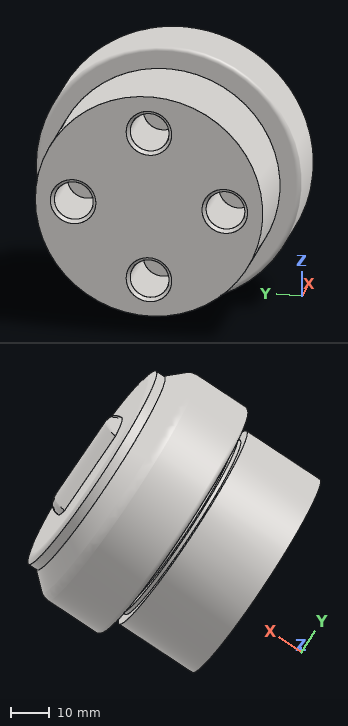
import cadquery as cq
import math

BODY_END = 22.9
COLLAR_END = 23.9
FLANGE_START = 25.5
CONE_START = 43.0
CONE_END = 48.5
NOSE_EDGE = 51.1
NOSE_FACE = 51.8
OVERALL_LENGTH = 55.0

BODY_RADIUS = 30.0
COLLAR_RADIUS = 27.0
NECK_RADIUS = 24.0
FLANGE_RADIUS = 35.05
NOSE_RADIUS = BODY_RADIUS
NOSE_FACE_RADIUS = 27.0

FLANGE_BACK_FILLET = 1.2
FLANGE_CONE_FILLET = 3.5

HOLE_COUNT = 4
HOLE_CIRCLE_RADIUS = 20.0
HOLE_RADIUS = 5.1
HOLE_MOUTH_RADIUS = 6.0
HOLE_DEPTH = 18.0

BAR_LENGTH = 30.0
BAR_WIDTH = 20.6
BAR_HEIGHT = OVERALL_LENGTH - NOSE_FACE


def rim_arc_midpoint():
    """Middle of the rim arc, which runs tangent into the flat nose face."""
    axial_drop = NOSE_FACE - NOSE_EDGE
    radial_drop = NOSE_RADIUS - NOSE_FACE_RADIUS
    arc_radius = (axial_drop**2 + radial_drop**2) / (2 * axial_drop)
    half_angle = math.asin(radial_drop / arc_radius) / 2
    x = NOSE_FACE - arc_radius * (1 - math.cos(half_angle))
    return x, NOSE_FACE_RADIUS + arc_radius * math.sin(half_angle)


def revolve_about_x(profile):
    return profile.close().revolve(360, (0, 0, 0), (1, 0, 0))


def outer_edge(solid, x):
    """The largest circular edge lying in the plane at x."""
    margin = 0.1
    reach = FLANGE_RADIUS + margin
    thin_slab = cq.selectors.BoxSelector(
        (x - margin, -reach, -reach),
        (x + margin, reach, reach),
        boundingbox=True,
    )
    return solid.edges(thin_slab).edges(cq.selectors.RadiusNthSelector(-1))


def make_rear():
    """Mounting cylinder, collar and neck."""
    return revolve_about_x(
        cq.Workplane("XY")
        .lineTo(0, BODY_RADIUS)
        .lineTo(BODY_END, BODY_RADIUS)
        .lineTo(BODY_END, COLLAR_RADIUS)
        .lineTo(COLLAR_END, COLLAR_RADIUS)
        .lineTo(COLLAR_END, NECK_RADIUS)
        .lineTo(FLANGE_START, NECK_RADIUS)
        .lineTo(FLANGE_START, 0)
    )


def make_flange():
    """Flange with a rounded back edge, a cone and a nose with a rounded rim."""
    flange = revolve_about_x(
        cq.Workplane("XY")
        .moveTo(FLANGE_START, 0)
        .lineTo(FLANGE_START, FLANGE_RADIUS)
        .lineTo(CONE_START, FLANGE_RADIUS)
        .lineTo(CONE_END, NOSE_RADIUS)
        .lineTo(NOSE_EDGE, NOSE_RADIUS)
        .threePointArc(rim_arc_midpoint(), (NOSE_FACE, NOSE_FACE_RADIUS))
        .lineTo(NOSE_FACE, 0)
    )

    flange = outer_edge(flange, FLANGE_START).fillet(FLANGE_BACK_FILLET)
    return outer_edge(flange, CONE_START).fillet(FLANGE_CONE_FILLET)


def make_hole():
    """Blind hole along X with a 45 degree countersunk mouth."""
    countersink_depth = HOLE_MOUTH_RADIUS - HOLE_RADIUS
    return revolve_about_x(
        cq.Workplane("XY")
        .lineTo(0, HOLE_MOUTH_RADIUS)
        .lineTo(countersink_depth, HOLE_RADIUS)
        .lineTo(HOLE_DEPTH, HOLE_RADIUS)
        .lineTo(HOLE_DEPTH, 0)
    )


def make_bar():
    """Bar with an arched section, its ends turned about the chord of the arch."""
    half_straight = BAR_LENGTH / 2 - BAR_HEIGHT

    def arch(y):
        return (
            cq.Workplane("XZ", origin=(NOSE_FACE, y, 0))
            .moveTo(0, -BAR_WIDTH / 2)
            .threePointArc((BAR_HEIGHT, 0), (0, BAR_WIDTH / 2))
            .close()
        )

    bar = arch(half_straight).extrude(2 * half_straight)
    for y in (-half_straight, half_straight):
        bar = bar.union(arch(y).revolve(360, (0, 0, 0), (0, 1, 0)))
    return bar


result = make_rear().union(make_flange()).union(make_bar())
for index in range(HOLE_COUNT):
    angle = 2 * math.pi * index / HOLE_COUNT
    y = HOLE_CIRCLE_RADIUS * math.cos(angle)
    z = HOLE_CIRCLE_RADIUS * math.sin(angle)
    result = result.cut(make_hole().translate((0, y, z)))